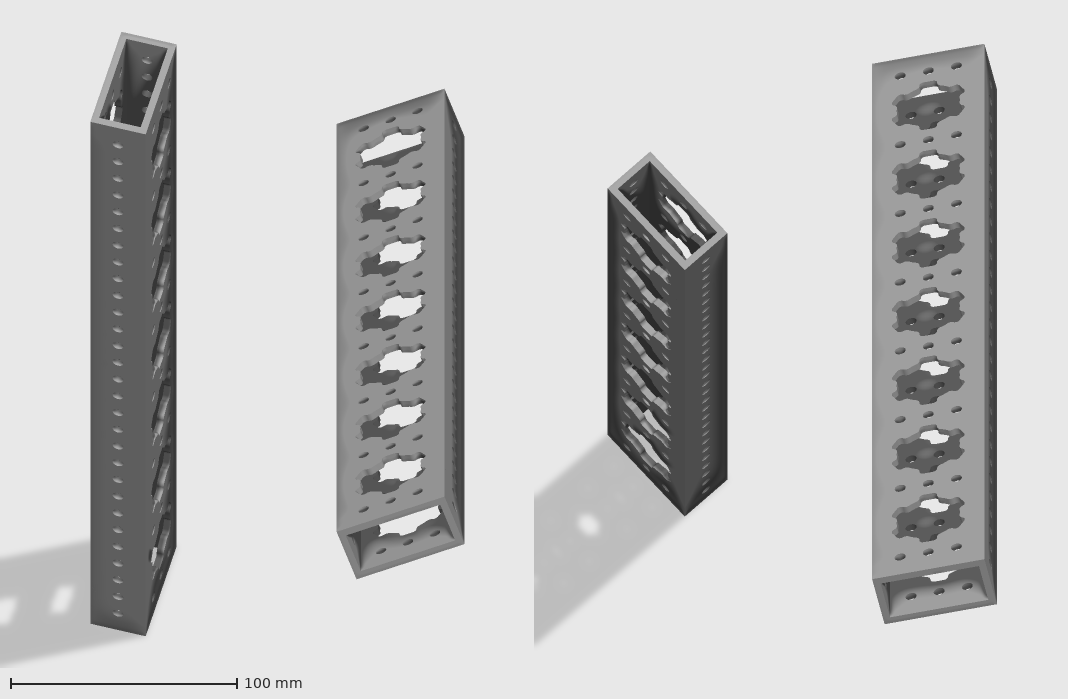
import cadquery as cq
import math

tube_length = 381.0
grid_steps = 30
pitch = tube_length / grid_steps
tube_width = 2 * pitch
tube_depth = 4 * pitch
wall = pitch / 4
hole_diameter = 5.0

opening_spacing = 4 * pitch
opening_count = 7
first_opening_height = 3 * pitch
opening_core_diameter = 28.5
opening_tip_diameter = 35.0
lobe_count = 6
lobe_width = 8.0
lobe_tip_fillet = 2.0
lobe_root_fillet = 2.3


def make_tube():
    outer = cq.Workplane("XY").rect(tube_width, tube_depth)
    inside_width = tube_width - 2 * wall
    inside_depth = tube_depth - 2 * wall
    return outer.rect(inside_width, inside_depth).extrude(tube_length)


def make_narrow_wall_holes():
    """One hole at every grid step, along Y through both narrow walls."""
    centers = [(0, step * pitch) for step in range(1, grid_steps)]
    plane = cq.Workplane("XZ").pushPoints(centers)
    return plane.circle(hole_diameter / 2).extrude(tube_depth / 2, both=True)


def make_wide_wall_holes():
    """Rows of three holes between and beyond the openings, along X."""
    centers = [
        (column * pitch, pitch + row * opening_spacing)
        for row in range(opening_count + 1)
        for column in (-1, 0, 1)
    ]
    plane = cq.Workplane("YZ").pushPoints(centers)
    return plane.circle(hole_diameter / 2).extrude(tube_width / 2, both=True)


def is_lobe_root(edge):
    """True for corners where a lobe meets the core, which lie inside the lobe tip corners."""
    center = edge.Center()
    middle_diameter = (opening_core_diameter + opening_tip_diameter) / 2
    return math.hypot(center.y, center.z) < middle_diameter / 2


def make_opening():
    """Cutter for one opening: a round core with evenly spaced lobes, one pointing up."""
    half_width = tube_width / 2
    opening = cq.Workplane("YZ").circle(opening_core_diameter / 2).extrude(half_width, both=True)
    opposite_lobes = (
        cq.Workplane("YZ")
        .rect(lobe_width, opening_tip_diameter)
        .extrude(half_width, both=True)
        .edges("|X")
        .fillet(lobe_tip_fillet)
    )
    for pair in range(lobe_count // 2):
        angle = pair * 360 / lobe_count
        opening = opening.union(opposite_lobes.rotate((0, 0, 0), (1, 0, 0), angle))
    return opening.edges("|X").filter(is_lobe_root).fillet(lobe_root_fillet)


result = make_tube().cut(make_narrow_wall_holes()).cut(make_wide_wall_holes())
opening_cutter = make_opening()
for index in range(opening_count):
    center_height = first_opening_height + index * opening_spacing
    result = result.cut(opening_cutter.translate((0, 0, center_height)))